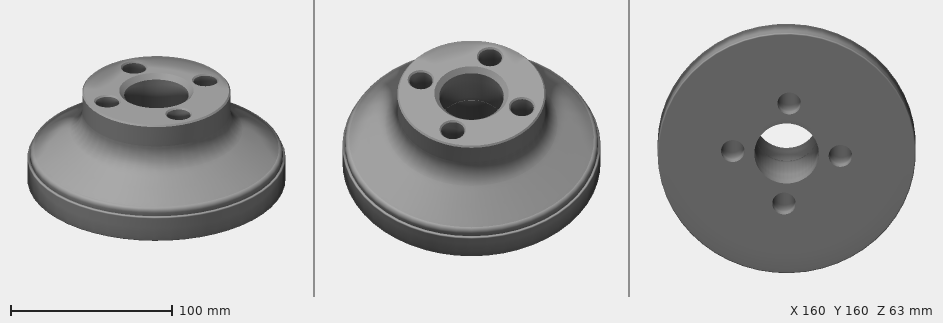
import cadquery as cq
import math

outer_diameter = 160.0
total_height = 63.0

rim_height = 16.8
rim_edge_radius = 0.8

base_diameter = 156.9
base_top = 19.0
shoulder_diameter = 151.7
shoulder_top = 22.1
fillet_bottom_diameter = 106.6
fillet_top = 48.5
neck_diameter = 92.0
neck_chamfer = 1.0
cone_angle = math.radians(31.0)

bore_diameter = 40.0
bore_chamfer = 3.0
groove_diameter = 40.3
groove_top = 38.0
groove_width = 2.1

bolt_hole_diameter = 14.5
bolt_hole_chamfer = 1.0
bolt_spacing = 47.2

base_radius = base_diameter / 2
shoulder_radius = shoulder_diameter / 2
neck_radius = neck_diameter / 2
fillet_bottom_radius = fillet_bottom_diameter / 2
fillet_bottom = shoulder_top + (shoulder_radius - fillet_bottom_radius) * math.tan(cone_angle)
fillet_run = fillet_bottom_radius - neck_radius
fillet_drop = fillet_top - fillet_bottom
fillet_radius = (fillet_run**2 + fillet_drop**2) / (2 * fillet_run)
half_sweep = math.asin(fillet_drop / fillet_radius) / 2
fillet_middle = (
    neck_radius + fillet_radius * (1 - math.cos(half_sweep)),
    fillet_top - fillet_radius * math.sin(half_sweep),
)


def make_rim():
    """Ring around the hub base, with both outer edges rounded."""
    ring = cq.Workplane("XY").circle(outer_diameter / 2).extrude(rim_height)
    ring = ring.edges().fillet(rim_edge_radius)
    return ring.cut(cq.Workplane("XY").circle(base_radius).extrude(rim_height))


def make_hub_blank():
    """Revolved base, rounded shoulder, cone, filleted neck and top chamfer."""
    return (
        cq.Workplane("XZ")
        .lineTo(base_radius, 0)
        .lineTo(base_radius, base_top)
        .tangentArcPoint((shoulder_radius, shoulder_top), relative=False)
        .lineTo(fillet_bottom_radius, fillet_bottom)
        .threePointArc(fillet_middle, (neck_radius, fillet_top))
        .lineTo(neck_radius, total_height - neck_chamfer)
        .lineTo(neck_radius - neck_chamfer, total_height)
        .lineTo(0, total_height)
        .close()
        .revolve(360, (0, 0, 0), (0, 1, 0))
    )


def chamfered_hole(diameter, chamfer):
    """Cutter for a through hole with a 45 degree chamfer at the top face."""
    radius = diameter / 2
    return (
        cq.Workplane("XZ")
        .lineTo(radius, 0)
        .lineTo(radius, total_height - chamfer)
        .lineTo(radius + chamfer, total_height)
        .lineTo(0, total_height)
        .close()
        .revolve(360, (0, 0, 0), (0, 1, 0))
    )


def make_bore_groove():
    """Cutter for the shallow ring groove inside the central bore."""
    return (
        cq.Workplane("XY")
        .workplane(offset=groove_top - groove_width)
        .circle(groove_diameter / 2)
        .extrude(groove_width)
    )


def make_hub():
    """Flared hub with its central bore and a square pattern of four bolt holes."""
    hub = make_hub_blank().cut(chamfered_hole(bore_diameter, bore_chamfer))
    hub = hub.cut(make_bore_groove())
    bolt_hole = chamfered_hole(bolt_hole_diameter, bolt_hole_chamfer)
    for x_side in (-1, 1):
        for y_side in (-1, 1):
            position = (x_side * bolt_spacing / 2, y_side * bolt_spacing / 2, 0)
            hub = hub.cut(bolt_hole.translate(position))
    return hub


rim = make_rim()
hub = make_hub()
result = cq.Compound.makeCompound([rim.val(), hub.val()])